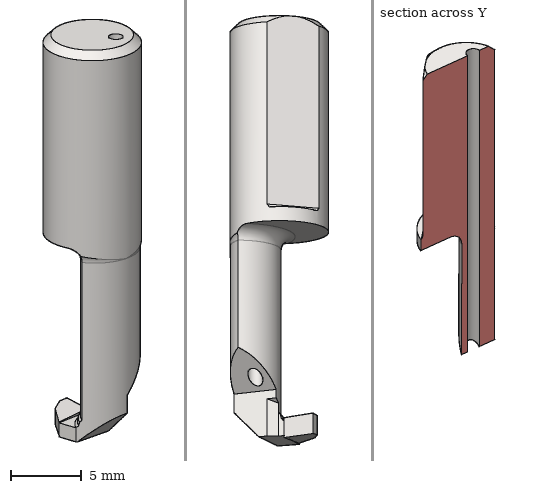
import cadquery as cq
import math

TOTAL_LENGTH = 30.0
SHANK_RADIUS = 3.495
SHANK_BOTTOM = 14.95
TOP_CHAMFER = 0.57
FLAT_DISTANCE = 2.9
FLAT_BOTTOM = 15.95
FLAT_FOOT_WIDTH = 0.1
FLAT_FOOT_HEIGHT = 0.2
FLAT_ANGLE = 135

NECK_OUTER_RADIUS = 3.2
NECK_OUTER_CENTRE = SHANK_RADIUS - NECK_OUTER_RADIUS
NECK_LEFT = 0.18
NECK_CORNER_X = 1.9
NECK_CORNER_Y = math.sqrt(NECK_OUTER_RADIUS**2 - (NECK_CORNER_X - NECK_OUTER_CENTRE) ** 2)
NECK_DEPTH = NECK_CORNER_X - NECK_LEFT
NECK_INNER_RADIUS = (NECK_DEPTH**2 + NECK_CORNER_Y**2) / (2 * NECK_DEPTH)
NECK_FILLET = 1.0
FILLET_MID = NECK_FILLET * (1 - math.sqrt(0.5))

HEAD_BOTTOM = 0.18
HEAD_TOP = 1.25
HEAD_FLARE_WIDTH = 0.4
FLARE_TOP = 1.92
FLARE_BAND_TOP = 1.75
FLARE_BAND_BOTTOM = 1.47
FLARE_BAND_TOP_WIDTH = 0.15
FLARE_BAND_BOTTOM_WIDTH = 0.2
HEAD_RIGHT = NECK_CORNER_X - HEAD_FLARE_WIDTH
HEAD_RIGHT_Y = -math.sqrt(NECK_OUTER_RADIUS**2 - (HEAD_RIGHT - NECK_OUTER_CENTRE) ** 2)
FRONT_FACE_Y = 0.12
BACK_SLOPE_TOP = 6.15
SIDE_SLOPE_TOP = 2.13

TIP_HEIGHT = 1.5
TIP_LEFT = -2.67
RAKE_Y = 0.05
TIP_SIDE_END_Y = -0.65
TIP_HEEL = (-1.98, -1.75)
JOINT_FRONT = (-0.25, -0.27)
JOINT_BACK_X = -0.045
JOINT_BACK_Y = -math.sqrt(NECK_OUTER_RADIUS**2 - (JOINT_BACK_X - NECK_OUTER_CENTRE) ** 2)
TIP_BOTTOM_RISE = 0.27
TIP_TOP_DROP = 0.18

GROOVE_TOP = 2.88
GROOVE_TOP_DROP = 0.3
GROOVE_END_X = 0.9

BORE_X = 1.4
BORE_Y = 0.95
BORE_DIAMETER = 1.05

CUT_SIZE = 12.0


def prism(points, bottom, top):
    """Vertical prism over an XY polygon."""
    return cq.Workplane("XY").workplane(offset=bottom).polyline(points).close().extrude(top - bottom)


def make_shank():
    shank = (
        cq.Workplane("XY").workplane(offset=SHANK_BOTTOM)
        .circle(SHANK_RADIUS).extrude(TOTAL_LENGTH - SHANK_BOTTOM)
        .faces(">Z").chamfer(TOP_CHAMFER)
    )
    foot_top = FLAT_BOTTOM + FLAT_FOOT_HEIGHT
    flat_cut = (
        cq.Workplane("XZ")
        .moveTo(FLAT_DISTANCE + FLAT_FOOT_WIDTH, FLAT_BOTTOM)
        .lineTo(FLAT_DISTANCE, foot_top)
        .lineTo(FLAT_DISTANCE, TOTAL_LENGTH)
        .lineTo(CUT_SIZE, TOTAL_LENGTH)
        .lineTo(CUT_SIZE, FLAT_BOTTOM)
        .close().extrude(CUT_SIZE / 2, both=True)
        .rotate((0, 0, 0), (0, 0, 1), FLAT_ANGLE)
    )
    return shank.cut(flat_cut)


def neck_column():
    """Inner-arc cylinder with fillet against the shank and flare onto the head."""
    radius = NECK_INNER_RADIUS
    flare_radius = radius + HEAD_FLARE_WIDTH
    profile = (
        cq.Workplane("XZ")
        .moveTo(0, HEAD_BOTTOM)
        .lineTo(flare_radius, HEAD_BOTTOM)
        .lineTo(flare_radius, HEAD_TOP)
        .lineTo(radius + FLARE_BAND_BOTTOM_WIDTH, FLARE_BAND_BOTTOM)
        .lineTo(radius + FLARE_BAND_TOP_WIDTH, FLARE_BAND_TOP)
        .lineTo(radius, FLARE_TOP)
        .lineTo(radius, SHANK_BOTTOM - NECK_FILLET)
        .threePointArc(
            (radius + FILLET_MID, SHANK_BOTTOM - FILLET_MID),
            (radius + NECK_FILLET, SHANK_BOTTOM),
        )
        .lineTo(0, SHANK_BOTTOM).close()
    )
    return profile.revolve(360, (0, 0, 0), (0, 1, 0)).translate((NECK_LEFT + radius, 0, 0))


def outer_column():
    """Outer-arc cylinder with its fillet against the shank."""
    radius = NECK_OUTER_RADIUS
    profile = (
        cq.Workplane("XZ")
        .lineTo(radius, 0)
        .lineTo(radius, SHANK_BOTTOM - NECK_FILLET)
        .threePointArc(
            (radius + FILLET_MID, SHANK_BOTTOM - FILLET_MID),
            (radius + NECK_FILLET, SHANK_BOTTOM),
        )
        .lineTo(0, SHANK_BOTTOM).close()
    )
    column = profile.revolve(360, (0, 0, 0), (0, 1, 0)).translate((NECK_OUTER_CENTRE, 0, 0))
    envelope = cq.Workplane("XY").circle(SHANK_RADIUS).extrude(SHANK_BOTTOM)
    return column.intersect(envelope)


def make_head():
    """Foot to the right of the joint with the tip, flat at the back."""
    return prism(
        [
            JOINT_FRONT,
            (JOINT_BACK_X, JOINT_BACK_Y),
            (HEAD_RIGHT, HEAD_RIGHT_Y),
            (HEAD_RIGHT, FRONT_FACE_Y),
            (GROOVE_END_X, FRONT_FACE_Y),
        ],
        HEAD_BOTTOM, HEAD_TOP,
    )


def back_slope_cut():
    slope_bottom = BACK_SLOPE_TOP - (NECK_CORNER_Y - FRONT_FACE_Y)
    return (
        cq.Workplane("YZ")
        .moveTo(FRONT_FACE_Y, 0)
        .lineTo(FRONT_FACE_Y, slope_bottom)
        .lineTo(NECK_CORNER_Y, BACK_SLOPE_TOP)
        .lineTo(CUT_SIZE, BACK_SLOPE_TOP + CUT_SIZE - NECK_CORNER_Y)
        .lineTo(CUT_SIZE, 0)
        .close().extrude(CUT_SIZE, both=True)
    )


def side_slope_cut():
    return (
        cq.Workplane("XZ")
        .moveTo(SHANK_RADIUS - SIDE_SLOPE_TOP, 0)
        .lineTo(SHANK_RADIUS, SIDE_SLOPE_TOP)
        .lineTo(CUT_SIZE, SIDE_SLOPE_TOP)
        .lineTo(CUT_SIZE, 0)
        .close().extrude(CUT_SIZE, both=True)
    )


def groove_cut():
    groove = prism(
        [(TIP_LEFT, RAKE_Y), JOINT_FRONT, (NECK_LEFT, JOINT_FRONT[1]),
         (GROOVE_END_X, FRONT_FACE_Y), (TIP_LEFT, FRONT_FACE_Y)],
        0, GROOVE_TOP,
    )
    floor_y = JOINT_FRONT[1]
    sloped_end = (
        cq.Workplane("YZ")
        .moveTo(floor_y, 0)
        .lineTo(floor_y, GROOVE_TOP - GROOVE_TOP_DROP)
        .lineTo(FRONT_FACE_Y, GROOVE_TOP)
        .lineTo(FRONT_FACE_Y, 0)
        .close().extrude(CUT_SIZE, both=True)
    )
    return groove.intersect(sloped_end)


def make_holder():
    neck = neck_column().intersect(outer_column()).union(make_head())
    neck = neck.cut(back_slope_cut()).cut(side_slope_cut()).cut(groove_cut())
    bore = cq.Workplane("XY").center(BORE_X, BORE_Y).circle(BORE_DIAMETER / 2).extrude(TOTAL_LENGTH)
    return make_shank().union(neck).cut(bore)


def make_tip():
    plate = prism(
        [(TIP_LEFT, RAKE_Y), (TIP_LEFT, TIP_SIDE_END_Y), TIP_HEEL,
         (JOINT_BACK_X, JOINT_BACK_Y), JOINT_FRONT],
        0, TIP_HEIGHT,
    )
    relief = (
        cq.Workplane("YZ")
        .moveTo(RAKE_Y, 0)
        .lineTo(RAKE_Y, TIP_HEIGHT)
        .lineTo(JOINT_BACK_Y, TIP_HEIGHT - TIP_TOP_DROP)
        .lineTo(JOINT_BACK_Y, TIP_BOTTOM_RISE)
        .close().extrude(CUT_SIZE, both=True)
    )
    return plate.intersect(relief)


tip = make_tip()
holder = make_holder().cut(tip)
result = cq.Compound.makeCompound([holder.val(), tip.val()])